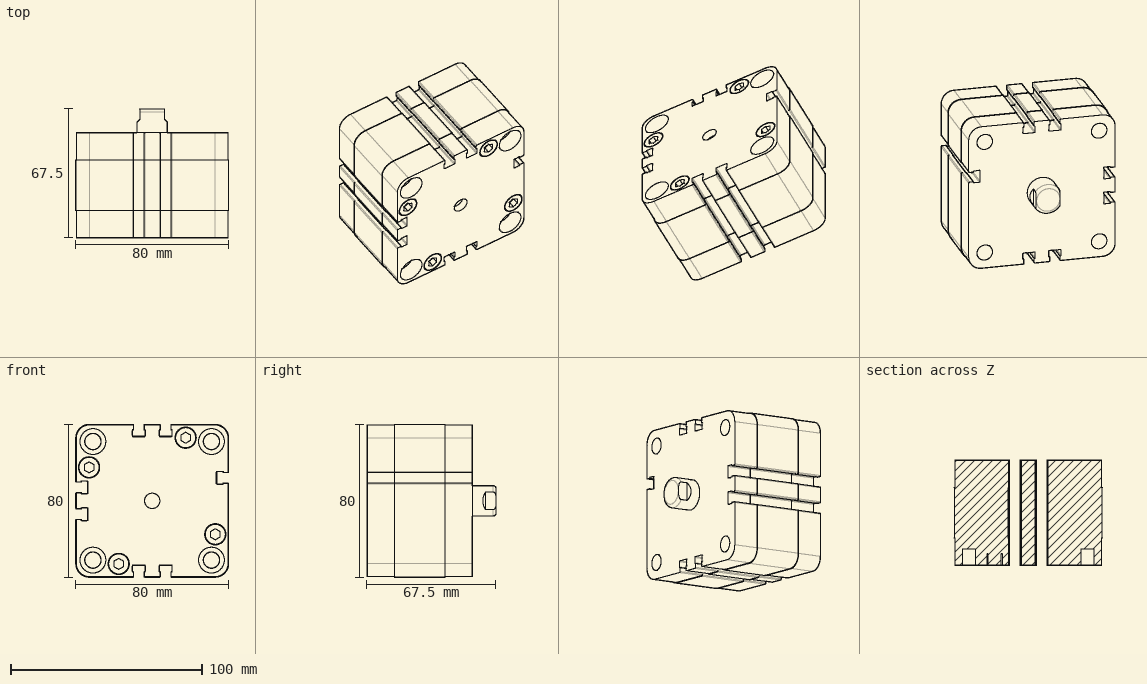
import cadquery as cq
import math

BODY_WIDTH = 80.0
BODY_LENGTH = 55.0
CAP_LENGTH = 14.3
CAP_INSET = 0.3
CORNER_RADIUS = 7.2
BARREL_LENGTH = BODY_LENGTH - 2 * CAP_LENGTH
REAR_CAP_START = CAP_LENGTH + BARREL_LENGTH
CAP_WIDTH = BODY_WIDTH - 2 * CAP_INSET

SLOT_MOUTH_WIDTH = 5.5
SLOT_FLOOR_WIDTH = 6.6
SLOT_FLOOR_DEPTH = 6.2
SLOT_LIP_DEPTH = 2.6
SLOT_LIP_RADIUS = 0.5
SLOT_CORNER_RADIUS = 0.4
PAIR_OFFSET = 7.0
SINGLE_OFFSET = 12.0

MOUNT_OFFSET = 31.0
MOUNT_DIAMETER = 8.38
MOUNT_BORE_DIAMETER = 13.5
MOUNT_BORE_DEPTH = 8.5

SCREW_EDGE_OFFSET = 33.0
SCREW_SIDE_OFFSET = 17.5
SCREW_BORE_DIAMETER = 11.1
SCREW_HEAD_DIAMETER = 10.5
SCREW_HEAD_HEIGHT = 6.0
SOCKET_ACROSS_FLATS = 5.0
SOCKET_DEPTH = 4.0

CENTRE_DIAMETER = 8.0
CENTRE_DEPTH = 4.0

ROD_DIAMETER = 16.0
ROD_LENGTH = 12.5
ROD_END_RADIUS = 1.7
FLATS_WIDTH = 13.0
FLATS_LENGTH = 5.5


def plane_at(y):
    """Workplane facing +Y, with local x along -X and local y along Z."""
    return cq.Workplane("XZ", origin=(0, y, 0)).transformed(rotate=(0, 180, 0))


def cylinder(x, z, diameter, y_start, length):
    axis = cq.Vector(0, 1, 0)
    return cq.Workplane(cq.Solid.makeCylinder(diameter / 2, length, cq.Vector(x, y_start, z), axis))


def body_section(width, radius, y_start, length):
    block = plane_at(y_start).rect(width, width).extrude(length)
    return block.edges("|Y").fillet(radius)


def make_body():
    cap_radius = CORNER_RADIUS - CAP_INSET
    front_cap = body_section(CAP_WIDTH, cap_radius, 0, CAP_LENGTH)
    barrel = body_section(BODY_WIDTH, CORNER_RADIUS, CAP_LENGTH, BARREL_LENGTH)
    rear_cap = body_section(CAP_WIDTH, cap_radius, REAR_CAP_START, CAP_LENGTH)
    return front_cap.union(barrel).union(rear_cap)


def slot_section(face, offset, y_start, length):
    """Slot cutter for a top face at height `face`; its lips are rounded at that face."""
    mouth = SLOT_MOUTH_WIDTH / 2
    floor = SLOT_FLOOR_WIDTH / 2
    lip_bottom = face - SLOT_LIP_DEPTH
    floor_height = face - SLOT_FLOOR_DEPTH
    r = SLOT_LIP_RADIUS
    c = SLOT_CORNER_RADIUS
    return (
        plane_at(y_start)
        .center(-offset, 0)
        .moveTo(-mouth - r, face)
        .radiusArc((-mouth, face - r), r)
        .lineTo(-mouth, lip_bottom)
        .lineTo(-floor + c, lip_bottom)
        .radiusArc((-floor, lip_bottom - c), -c)
        .lineTo(-floor, floor_height + c)
        .radiusArc((-floor + c, floor_height), -c)
        .lineTo(floor - c, floor_height)
        .radiusArc((floor, floor_height + c), -c)
        .lineTo(floor, lip_bottom - c)
        .radiusArc((floor - c, lip_bottom), -c)
        .lineTo(mouth, lip_bottom)
        .lineTo(mouth, face - r)
        .radiusArc((mouth + r, face), r)
        .close()
        .extrude(length)
    )


def slot_cutter(offset, turn):
    """Full-length slot in the top face, turned about Y to the wanted side."""
    cap_face = CAP_WIDTH / 2
    cutter = slot_section(cap_face, offset, 0, CAP_LENGTH)
    cutter = cutter.union(slot_section(BODY_WIDTH / 2, offset, CAP_LENGTH, BARREL_LENGTH))
    cutter = cutter.union(slot_section(cap_face, offset, REAR_CAP_START, CAP_LENGTH))
    return cutter.rotate((0, 0, 0), (0, 1, 0), turn)


def cut_slots(body):
    for turn in (0, 180, 270):
        for offset in (-PAIR_OFFSET, PAIR_OFFSET):
            body = body.cut(slot_cutter(offset, turn))
    return body.cut(slot_cutter(-SINGLE_OFFSET, 90))


def cut_mount_holes(body):
    for x in (-MOUNT_OFFSET, MOUNT_OFFSET):
        for z in (-MOUNT_OFFSET, MOUNT_OFFSET):
            body = body.cut(cylinder(x, z, MOUNT_DIAMETER, 0, BODY_LENGTH))
            body = body.cut(cylinder(x, z, MOUNT_BORE_DIAMETER, 0, MOUNT_BORE_DEPTH))
    return body


def screw_cutter(x, z):
    """Ring-shaped gap around a flush screw head, plus its hex socket with corners up and down."""
    gap = cylinder(x, z, SCREW_BORE_DIAMETER, 0, SCREW_HEAD_HEIGHT)
    gap = gap.cut(cylinder(x, z, SCREW_HEAD_DIAMETER, 0, SCREW_HEAD_HEIGHT))
    across_corners = SOCKET_ACROSS_FLATS / math.cos(math.pi / 6)
    socket = (
        plane_at(0)
        .center(-x, z)
        .transformed(rotate=(0, 0, 90))
        .polygon(6, across_corners)
        .extrude(SOCKET_DEPTH)
    )
    return gap.union(socket)


def cut_screws(body):
    x = SCREW_SIDE_OFFSET
    z = SCREW_EDGE_OFFSET
    for _ in range(4):
        body = body.cut(screw_cutter(x, z))
        x, z = z, -x
    return body


def make_rod():
    radius = ROD_DIAMETER / 2
    tip = BODY_LENGTH + ROD_LENGTH
    rod = (
        cq.Workplane("XY")
        .moveTo(0, BODY_LENGTH)
        .lineTo(radius, BODY_LENGTH)
        .lineTo(radius, tip - ROD_END_RADIUS)
        .radiusArc((radius - ROD_END_RADIUS, tip), -ROD_END_RADIUS)
        .lineTo(0, tip)
        .close()
        .revolve(360, (0, 0, 0), (0, 1, 0))
    )
    half_flats = FLATS_WIDTH / 2
    flats_end = tip - FLATS_LENGTH
    run_out = radius - half_flats
    flat = (
        cq.Workplane("XY")
        .moveTo(half_flats, tip)
        .lineTo(half_flats, flats_end)
        .lineTo(radius, flats_end - run_out)
        .lineTo(radius, tip)
        .close()
        .extrude(radius, both=True)
    )
    return rod.cut(flat).cut(flat.mirror("YZ"))


body = cut_slots(make_body())
body = cut_mount_holes(body)
body = cut_screws(body)
body = body.cut(cylinder(0, 0, CENTRE_DIAMETER, 0, CENTRE_DEPTH))
result = body.union(make_rod())